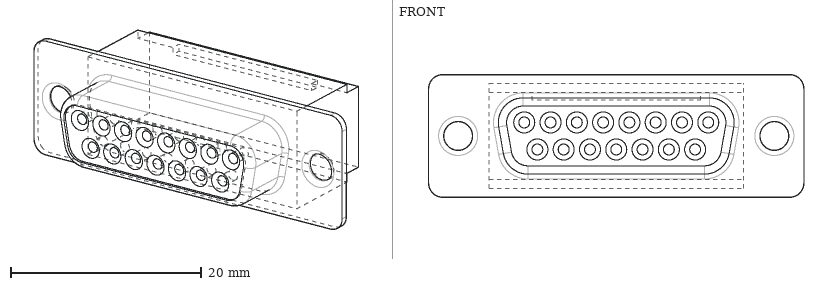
import cadquery as cq
import math

flange_width = 39.52
flange_height = 12.92
flange_thickness = 0.8
flange_corner_radius = 1.5

mount_hole_spacing = 33.28
mount_hole_diameter = 3.0
mount_hole_lip_radius = 0.55

shell_depth = 6.32
shell_height = 8.02
shell_width = 24.8
shell_side_angle = 10.0
shell_corner_radius = 2.6
shell_root_radius = 0.5
shell_nose_radius = 1.0

shell_rim_wall = 0.85
contact_face_recess = 0.3

contact_pitch = 2.75
row_spacing = 2.85
top_row_count = 8
bottom_row_count = top_row_count - 1
contact_mouth_diameter = 2.2
contact_bore_diameter = 1.15
contact_cone_depth = 0.4
contact_total_depth = 2.37

body_width = 26.8
body_height = 11.05
body_depth = 9.2
strip_height = 9.15
strip_depth = 2.17

pocket_width = 17.8
pocket_length = strip_depth / 2
pocket_depth = 0.8

body_back = flange_thickness + body_depth
strip_back = body_back + strip_depth
contact_face_y = contact_face_recess - shell_depth


def block(width, height, front, back):
    """Box centred on X and Z that runs from Y = front to Y = back."""
    centre_y = (front + back) / 2
    return cq.Workplane("XY").box(width, back - front, height).translate((0, centre_y, 0))


def make_flange():
    """Plate with rounded corners and two holes whose front lips are rounded over."""
    plate = block(flange_width, flange_height, 0, flange_thickness)
    holes = (
        cq.Workplane("XZ")
        .pushPoints([(-mount_hole_spacing / 2, 0), (mount_hole_spacing / 2, 0)])
        .circle(mount_hole_diameter / 2)
        .extrude(-flange_thickness)
    )
    drilled_plate = plate.cut(holes).faces("<Y").edges("%CIRCLE").fillet(mount_hole_lip_radius)
    rounded_plate = plate.edges("|Y").fillet(flange_corner_radius)
    return drilled_plate.intersect(rounded_plate)


def d_prism(inset, depth):
    """Prism from Y = 0 to Y = -depth with the shell outline moved inwards by inset."""
    angle = math.radians(shell_side_angle)
    corner_radius = shell_corner_radius - inset
    half_height = shell_height / 2 - inset
    corner_centre_x = shell_width / 2 - shell_corner_radius
    corner_centre_z = shell_height / 2 - shell_corner_radius
    middle_half_width = corner_centre_x - corner_centre_z * math.tan(angle) + corner_radius / math.cos(angle)
    side_shift = half_height * math.tan(angle)
    top_half_width = middle_half_width + side_shift
    bottom_half_width = middle_half_width - side_shift
    outline = [
        (-top_half_width, half_height),
        (top_half_width, half_height),
        (bottom_half_width, -half_height),
        (-bottom_half_width, -half_height),
    ]
    prism = cq.Workplane("XZ").polyline(outline).close().extrude(depth)
    return prism.edges("|Y").fillet(corner_radius)


def make_flanged_shell():
    """Flange and shell blended together, with the opening in the nose of the shell."""
    shell = d_prism(0, shell_depth).faces("<Y").edges().fillet(shell_nose_radius)
    flanged_shell = make_flange().union(shell)
    margin = 0.05
    root_edges = cq.selectors.BoxSelector(
        (-shell_width / 2, -margin, -shell_height / 2 - margin),
        (shell_width / 2, margin, shell_height / 2 + margin),
    )
    flanged_shell = flanged_shell.edges(root_edges).fillet(shell_root_radius)
    opening = d_prism(shell_rim_wall, contact_face_recess).translate((0, contact_face_y, 0))
    return flanged_shell.cut(opening)


def make_body():
    """Rear body with the thinner back strip and its pocket."""
    body = block(body_width, body_height, flange_thickness, body_back)
    strip = block(body_width, strip_height, body_back, strip_back)
    pocket = block(pocket_width, pocket_depth, body_back, body_back + pocket_length)
    pocket_centre_z = (strip_height - pocket_depth) / 2
    return body.union(strip).cut(pocket.translate((0, 0, pocket_centre_z)))


def make_contact_socket():
    """Blind bore with a conical mouth, starting at Y = 0 and going towards +Y."""
    mouth_radius = contact_mouth_diameter / 2
    bore_radius = contact_bore_diameter / 2
    half_section = [
        (0, 0),
        (mouth_radius, 0),
        (bore_radius, contact_cone_depth),
        (bore_radius, contact_total_depth),
        (0, contact_total_depth),
    ]
    return cq.Workplane("XY").polyline(half_section).close().revolve(360, (0, 0), (0, 1))


def cut_contact_row(part, count, z):
    """Cut an evenly spaced row of sockets into the contact face, centred on X."""
    socket = make_contact_socket()
    first_x = -(count - 1) * contact_pitch / 2
    for index in range(count):
        x = first_x + index * contact_pitch
        part = part.cut(socket.translate((x, contact_face_y, z)))
    return part


result = make_flanged_shell().union(make_body())
result = cut_contact_row(result, top_row_count, row_spacing / 2)
result = cut_contact_row(result, bottom_row_count, -row_spacing / 2)